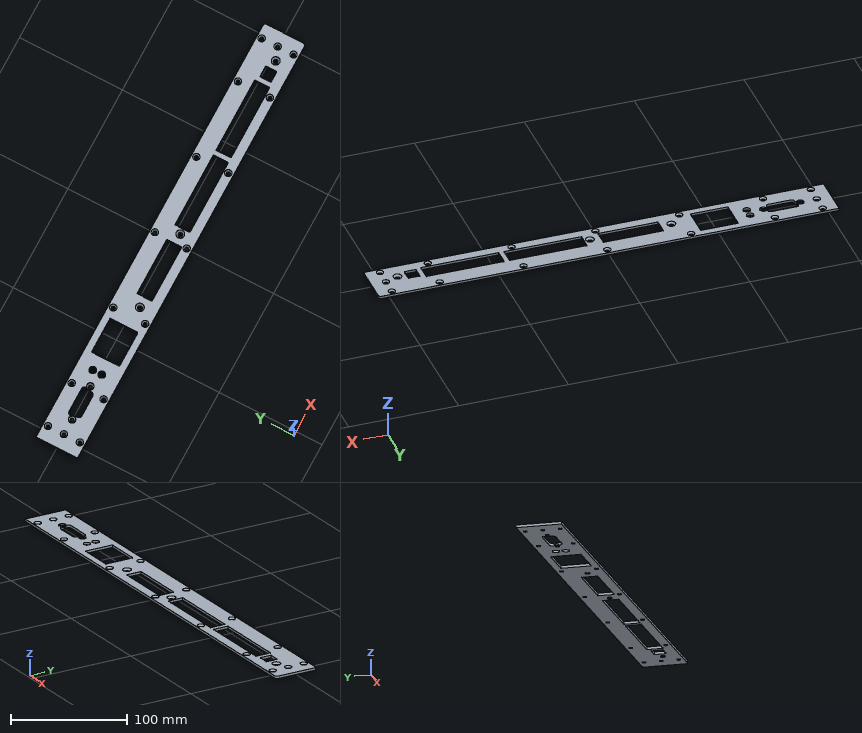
import cadquery as cq

length = 419.0
width = 40.5
thickness = 2.5
right_corner_radius = 2.5

small_hole = 3.2
small_head = 6.3
large_hole = 3.9
large_head = 7.5
countersink_angle = 90

screw_pitch = 76.3
end_screw_x = 196.0
screw_row_y = 15.5

large_screw_y = -4.5
large_screw_xs = [-65.5, 9.0, 184.0]

d_center_x = -164.3
d_top_width = 29.5
d_bottom_width = 24.5
d_height = 11.5
d_corner_radius = 2.5
d_screw_hole = 3.23
d_head_depth = 1.3
d_screw_spacing = 33.5

indicator_hole = 6.3
indicator_x = -133.5
indicator_ys = [5.0, -3.8]

slot_bottom = -11.0
slot_top = 3.5
windows = [
    (-120.0, -86.0, -13.5, 13.5),
    (-55.5, -1.0, slot_bottom, slot_top),
    (14.2, 84.5, slot_bottom, slot_top),
    (89.5, 160.5, slot_bottom, slot_top),
    (165.5, 176.0, -9.5, 1.0),
]


def make_panel():
    """Flat plate with rounded corners at its right end only."""
    plate = cq.Workplane("XY").box(length, width, thickness)
    return plate.edges("|Z and >X").fillet(right_corner_radius)


def on_top_face(body, points):
    """Place points on the upper face, measured from the panel center."""
    return body.faces(">Z").workplane(origin=(0, 0, 0)).pushPoints(points)


def cut_countersunk(body, points, hole, head):
    """Drill countersunk screw holes from the upper face."""
    return on_top_face(body, points).cskHole(hole, head, countersink_angle)


def cut_counterbored(body, points, hole, head, head_depth):
    """Drill counterbored screw holes from the upper face."""
    return on_top_face(body, points).cboreHole(hole, head, head_depth)


def cut_window(body, left, right, bottom, top):
    """Cut a rectangular window through the panel."""
    cutter = cq.Workplane("XY").box(right - left, top - bottom, thickness)
    center = ((left + right) / 2, (bottom + top) / 2, 0)
    return body.cut(cutter.translate(center))


def make_d_cutter():
    """Trapezoid with rounded corners, wider at the top."""
    outline = [
        (-d_top_width / 2, d_height / 2),
        (d_top_width / 2, d_height / 2),
        (d_bottom_width / 2, -d_height / 2),
        (-d_bottom_width / 2, -d_height / 2),
    ]
    prism = cq.Workplane("XY").polyline(outline).close().extrude(thickness / 2, both=True)
    return prism.edges("|Z").fillet(d_corner_radius).translate((d_center_x, 0, 0))


inner_xs = [step * screw_pitch for step in range(-2, 3)]
row_xs = [-end_screw_x] + inner_xs + [end_screw_x]
mounting_points = [(x, y) for x in row_xs for y in (-screw_row_y, screw_row_y)]
mounting_points += [(-end_screw_x, 0), (end_screw_x, 0)]
large_points = [(x, large_screw_y) for x in large_screw_xs]
d_screw_points = [(d_center_x + side * d_screw_spacing / 2, 0) for side in (-1, 1)]
indicator_points = [(indicator_x, y) for y in indicator_ys]

result = make_panel()
result = cut_countersunk(result, mounting_points, small_hole, small_head)
result = cut_countersunk(result, large_points, large_hole, large_head)
result = cut_counterbored(result, d_screw_points, d_screw_hole, small_head, d_head_depth)
result = on_top_face(result, indicator_points).hole(indicator_hole)
result = result.cut(make_d_cutter())
for window in windows:
    result = cut_window(result, *window)